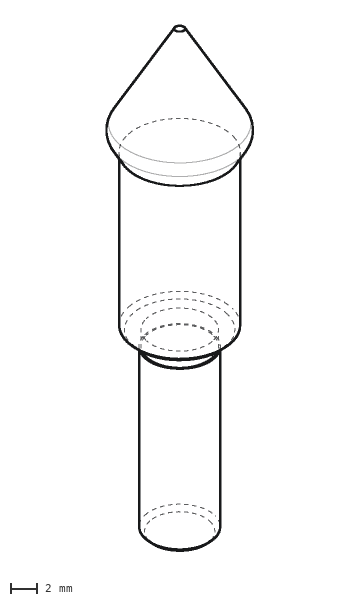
import cadquery as cq
import math

total_height = 45.0
shank_radius = 3.0
neck_radius = 2.9
body_radius = 4.5
head_radius = 5.45
tip_radius = 0.4
neck_bottom = 16.5
body_bottom = 18.0
head_bottom = 33.85
chamfer = 0.4
rim_radius = 1.2
cone_half_angle = math.radians(30)

rim_center_radius = head_radius - rim_radius
rim_edge_radius = rim_center_radius + rim_radius * math.cos(cone_half_angle)
rim_half_height = rim_radius * math.sin(cone_half_angle)
rim_bottom = head_bottom + (rim_edge_radius - body_radius) / math.tan(cone_half_angle)
rim_middle = rim_bottom + rim_half_height
rim_top = rim_middle + rim_half_height

cone_top = rim_top + (rim_edge_radius - tip_radius) / math.tan(cone_half_angle)
dome_height = total_height - cone_top
dome_radius = (tip_radius**2 + dome_height**2) / (2 * dome_height)
dome_half_angle = math.asin(tip_radius / dome_radius) / 2
dome_middle = (
    dome_radius * math.sin(dome_half_angle),
    total_height - dome_radius * (1 - math.cos(dome_half_angle)),
)

profile = (
    cq.Workplane("XZ")
    .moveTo(0, 0)
    .lineTo(shank_radius - chamfer, 0)
    .lineTo(shank_radius, chamfer)
    .lineTo(shank_radius, neck_bottom)
    .lineTo(neck_radius, neck_bottom)
    .lineTo(neck_radius, body_bottom)
    .lineTo(body_radius - chamfer, body_bottom)
    .lineTo(body_radius, body_bottom + chamfer)
    .lineTo(body_radius, head_bottom)
    .lineTo(rim_edge_radius, rim_bottom)
    .threePointArc((head_radius, rim_middle), (rim_edge_radius, rim_top))
    .lineTo(tip_radius, cone_top)
    .threePointArc(dome_middle, (0, total_height))
    .close()
)

result = profile.revolve(360, (0, 0, 0), (0, 1, 0))